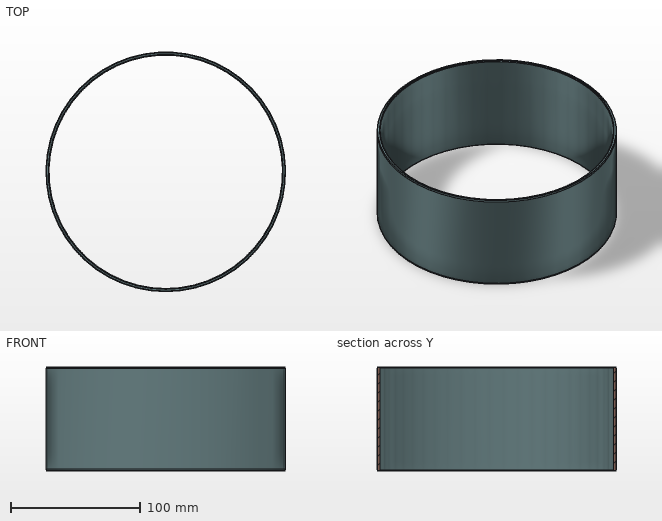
import cadquery as cq
import math

outer_diameter = 185.0
wall_thickness = 2.4
height = 80.0

outer_bevel_height = 1.2
outer_bevel_angle = 20.0
outer_bevel_width = outer_bevel_height * math.tan(math.radians(outer_bevel_angle))

inner_chamfer = 0.6

outer_radius = outer_diameter / 2
inner_radius = outer_radius - wall_thickness


def wall_section():
    """Bevelled wall section in the YZ plane, on the -Y side of the axis."""
    rim_inner = inner_radius + inner_chamfer
    rim_outer = outer_radius - outer_bevel_width
    return (
        cq.Workplane("YZ")
        .moveTo(-inner_radius, inner_chamfer)
        .lineTo(-rim_inner, 0)
        .lineTo(-rim_outer, 0)
        .lineTo(-outer_radius, outer_bevel_height)
        .lineTo(-outer_radius, height - outer_bevel_height)
        .lineTo(-rim_outer, height)
        .lineTo(-rim_inner, height)
        .lineTo(-inner_radius, height - inner_chamfer)
        .close()
    )


def bevelled_ring():
    """Wall section swept once around the Z axis."""
    return wall_section().revolve(360, (0, 0, 0), (0, 1, 0))


result = bevelled_ring()